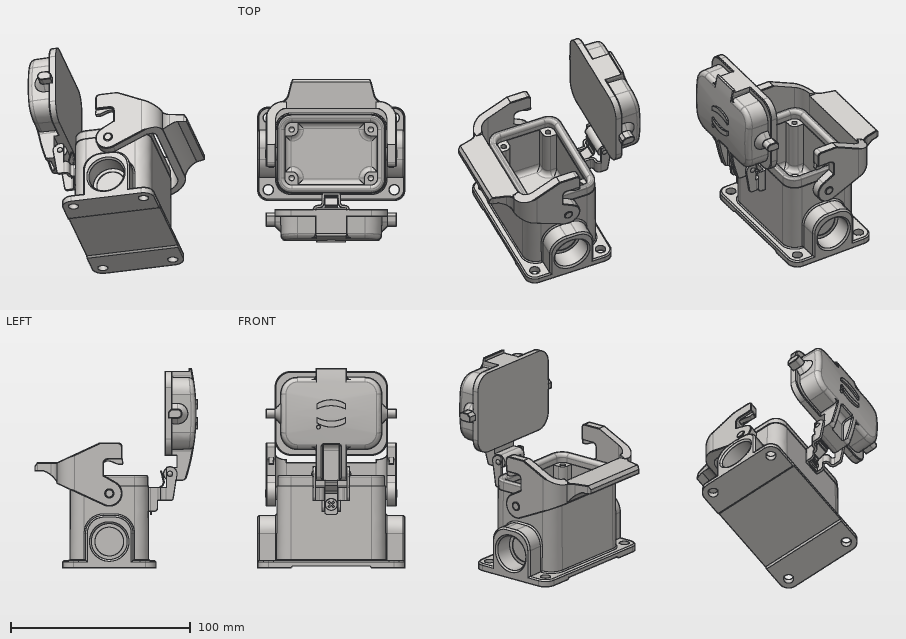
import cadquery as cq
import math

BASE_LENGTH = 82.0
BASE_WIDTH = 52.0
BASE_HEIGHT = 4.0
BASE_CORNER_R = 6.0
BASE_EDGE_CHAMFER = 0.8
FOOT_GAP_LENGTH = 43.0
FOOT_GAP_HEIGHT = 1.0
MOUNT_HOLE_D = 5.6
MOUNT_HOLE_X = 35.0
MOUNT_HOLE_Y = 20.0

WALL_LENGTH = 60.8
WALL_WIDTH = 43.9
WALL_CORNER_R = 8.0
WALL_DRAFT_DEG = 0.3
COLLAR_Z = 45.6
COLLAR_LENGTH = 59.4
COLLAR_WIDTH = 42.9
COLLAR_CORNER_R = 7.4
RIM_Z = 51.4
RIM_OUTER_R = 1.0
RIM_INNER_R = 2.2
WALL_FOOT_CHAMFER = 0.7
CAVITY_LENGTH = 51.0
CAVITY_WIDTH = 34.3
MOUTH_STEP = 0.3
CAVITY_CORNER_R = 4.0
CAVITY_FLOOR_Z = 16.0
CAVITY_FLOOR_R = 3.0
POST_X = 22.0
POST_Y = 13.5
POST_R = 3.5
POST_TOP_Z = 46.3
SCREW_HOLE_D = 3.0
SCREW_HOLE_DEPTH = 10.0
DRILL_TIP_DEG = 118

TOWER_WIDTH = 26.4
TOWER_TOP_Z = 29.2
TOWER_CORNER_R = 10.0
TOWER_EDGE_CHAMFER = 1.0
TOWER_ROOT_CHAMFER = 0.9
TOWER_ROOT_X = -30.2
BORE_D = 20.0
BORE_CHAMFER = 1.0
BORE_Z = 14.65
BORE_DEPTH = 11.5
KNOCKOUT_D = 16.0
KNOCKOUT_DEPTH = 0.4

PIVOT_Z = 41.4
PIVOT_D = 5.1
PIVOT_TIP_D = 4.0
PIVOT_REACH = 36.5
PIVOT_TIP_LENGTH = 0.3
PIVOT_BOSS_D = 7.0

LEVER_HALF_LENGTH = 36.2
LEVER_INNER_HALF = 30.9
LEVER_BACK_Y = 29.1
LEVER_INNER_Y = 25.2
LEVER_OUTER_R = 9.8
LEVER_INNER_R = 6.0
LEVER_FRONT_Y = -7.1
LEVER_TOP_Z = 69.5
LEVER_TOP_REAR_Y = 5.2
LEVER_REAR_LOW_Z = 47.4
LEVER_REAR_HIGH_Z = 58.0
LEVER_REAR_Y = 29.9
LEVER_EAR_R = -LEVER_FRONT_Y
HOOK_UNDER_Z = 60.4
HOOK_THROAT_Y = 3.2
HOOK_THROAT_R = 2.6
HOOK_NOSE_R = 2.2
LEVER_EDGE_CHAMFER = 0.4
GRIP_TOP_Z = 58.5
GRIP_END_Y = 41.4
BRIDGE_HALF_LENGTH = 24.9
TOOTH_X = 33.45
TOOTH_WIDTH = 2.5

COVER_Z = 85.9
FLANGE_LENGTH = 62.6
FLANGE_HEIGHT = 46.7
FLANGE_CORNER_R = 9.0
FLANGE_BACK_Y = -31.1
FLANGE_FRONT_Y = -35.0
FLANGE_EDGE_CHAMFER = 0.5
SHELL_LENGTH = 56.4
SHELL_HEIGHT = 40.2
SHELL_CORNER_R = 9.5
SHELL_DRAFT_DEG = 1.5
SHELL_EDGE_R = 2.8
DOME_R = 120.0
DOME_Y = -48.3
TAB_HALF_LENGTH = 8.6
TAB_LIP_Z = 110.79
TAB_LIP_BACK_Y = -44.4
TONGUE_BOTTOM_R = 2.7
BAR_EDGE_CHAMFER = 0.5
TONGUE_BACK_Y = -37.6
SLOT_HALF_LENGTH = 5.0
SLOT_FLOOR_Y = -40.0
SLOT_TOP_Z = 68.6
SLOT_BEVEL = 0.7
SLOT_TOP_R = 3.3
TAB_GUSSET = 2.2
PEG_REACH = 36.4
PEG_HEIGHT = 4.9
PEG_Z = 85.75
PEG_FLAT_Y = -32.9
PEG_ROUND_Y = -37.85
PEG_CHAMFER = 1.7
PEG_TIP_CHAMFER = 0.3
PEG_ROOT_R = 6.0
PEG_ROOT_LENGTH = 3.4
BADGE_Y = -49.15
BADGE_HALF_LENGTH = 8.0
DOT_D = 2.08
DOT_X = -7.1
DOT_Z = 78.3

HINGE_Y = -33.7
HINGE_Z = 52.3
HUB_R = 3.6
HINGE_PIN_D = 3.0
HINGE_PIN_REACH = 10.9
SHEET = 1.4
CHANNEL_HALF = 5.25
CHANNEL_BACK_Y = -21.6
CHANNEL_FRONT_Y = -26.9
CHANNEL_BOTTOM_Z = 31.4
CHANNEL_TOE_R = 2.0
WING_BACK_Y = -28.6
WING_BOTTOM_Z = 37.5
WING_TOP_Z = 44.7
EAR_INNER_X = 8.7
EAR_OUTER_X = EAR_INNER_X + SHEET
EAR_EDGE_Y = -31.7
EAR_R = 4.0
EAR_TOE_R = 1.5
SPRING_HALF = 3.6
SPRING_THICKNESS = 0.6
SPRING_Y = -23.3
SPRING_BOTTOM_Z = 29.7
SPRING_CHAMFER = 0.9
SCREW_Z = 35.3
SCREW_HEAD_D = 6.6
SCREW_HEAD_Y = -24.5
CROSS_LENGTH = 4.2
CROSS_WIDTH = 0.9
CROSS_DEPTH = 0.5

SIDES = (-1, 1)


def box(x0, x1, y0, y1, z0, z1):
    """Box between two opposite corners."""
    return cq.Workplane().box(x1 - x0, y1 - y0, z1 - z0, centered=False).translate((x0, y0, z0))


def rounded_block(length, width, corner_r, z0, z1, draft=0):
    """Upright block with rounded corners, centred on the Z axis."""
    plan = cq.Sketch().rect(length, width).vertices().fillet(corner_r)
    return cq.Workplane("XY", origin=(0, 0, z0)).placeSketch(plan).extrude(z1 - z0, taper=draft)


def cover_block(length, height, corner_r, y_back, y_front, draft=0):
    """Block with rounded corners, centred on the cover and growing toward -Y."""
    plan = cq.Sketch().rect(length, height).vertices().fillet(corner_r)
    plane = cq.Workplane("XZ", origin=(0, y_back, COVER_Z))
    return plane.placeSketch(plan).extrude(y_back - y_front, taper=draft)


def rod_x(diameter, x0, x1, y, z):
    """Cylinder along X."""
    return cq.Workplane("YZ", origin=(x0, y, z)).circle(diameter / 2).extrude(x1 - x0)


def mirrored(half):
    """A body together with its mirror image across the YZ plane."""
    return half.union(half.mirror("YZ"))


def make_base():
    base = rounded_block(BASE_LENGTH, BASE_WIDTH, BASE_CORNER_R, 0, BASE_HEIGHT)
    return base.faces(">Z").edges().chamfer(BASE_EDGE_CHAMFER)


def make_foot_gap():
    """Shallow relief under the middle of the base, leaving a foot at each end."""
    half_gap = FOOT_GAP_LENGTH / 2
    return (
        cq.Workplane("XZ")
        .polyline([
            (-half_gap - FOOT_GAP_HEIGHT, 0),
            (half_gap + FOOT_GAP_HEIGHT, 0),
            (half_gap, FOOT_GAP_HEIGHT),
            (-half_gap, FOOT_GAP_HEIGHT),
        ])
        .close()
        .extrude(BASE_WIDTH / 2, both=True)
    )


def make_tower():
    """Cable entry tower at the -X end with its flared root, still without its bore."""
    x_face = -BASE_LENGTH / 2
    half = TOWER_WIDTH / 2
    tower = box(x_face, -CAVITY_LENGTH / 2, -half, half, 0, TOWER_TOP_Z)
    tower = tower.edges("|X and >Z").fillet(TOWER_CORNER_R)
    tower = tower.faces("<X").edges("not <Z").chamfer(TOWER_EDGE_CHAMFER)
    root_half = half + TOWER_ROOT_CHAMFER
    root_top = TOWER_TOP_Z + TOWER_ROOT_CHAMFER
    root_r = TOWER_CORNER_R + TOWER_ROOT_CHAMFER
    root = (
        cq.Workplane("YZ", origin=(TOWER_ROOT_X, 0, 0))
        .moveTo(-root_half, 0)
        .lineTo(-root_half, root_top - root_r)
        .radiusArc((root_r - root_half, root_top), root_r)
        .lineTo(root_half - root_r, root_top)
        .radiusArc((root_half, root_top - root_r), root_r)
        .lineTo(root_half, 0)
        .close()
        .extrude(-TOWER_ROOT_CHAMFER, taper=45)
    )
    return tower.union(root)


def make_bore():
    """Blind cable bore at the -X end with a chamfered mouth and a knock-out recess."""
    x_face = -BASE_LENGTH / 2
    bore = rod_x(BORE_D, x_face, x_face + BORE_DEPTH, 0, BORE_Z)
    recess = rod_x(KNOCKOUT_D, x_face, x_face + BORE_DEPTH + KNOCKOUT_DEPTH, 0, BORE_Z)
    mouth = (
        cq.Workplane("YZ", origin=(x_face, 0, BORE_Z))
        .circle(BORE_D / 2 + BORE_CHAMFER)
        .extrude(BORE_CHAMFER, taper=45)
    )
    return bore.union(recess).union(mouth)


def make_pivot():
    """Lever pivot at the -X end: a spacer boss and a pin with a conical tip."""
    boss = rod_x(PIVOT_BOSS_D, -LEVER_INNER_HALF, -CAVITY_LENGTH / 2, 0, PIVOT_Z)
    pin = rod_x(PIVOT_D, -PIVOT_REACH, -CAVITY_LENGTH / 2, 0, PIVOT_Z)
    pin = pin.faces("<X").chamfer(PIVOT_TIP_LENGTH, (PIVOT_D - PIVOT_TIP_D) / 2)
    return boss.union(pin)


def make_cavity():
    """Inside of the housing, leaving a screw post standing in each corner."""
    cavity = rounded_block(CAVITY_LENGTH, CAVITY_WIDTH, CAVITY_CORNER_R, CAVITY_FLOOR_Z, RIM_Z)
    x_post = POST_X - POST_R
    y_post = POST_Y - POST_R
    for sx in SIDES:
        for sy in SIDES:
            post = box(x_post, CAVITY_LENGTH, y_post, CAVITY_WIDTH, CAVITY_FLOOR_Z, POST_TOP_Z)
            post = post.edges("|Z and <X and <Y").fillet(POST_R)
            if sx < 0:
                post = post.mirror("YZ")
            if sy < 0:
                post = post.mirror("XZ")
            cavity = cavity.cut(post)
    cavity = cavity.faces("<Z").edges().fillet(CAVITY_FLOOR_R)
    mouth = rounded_block(
        CAVITY_LENGTH + 2 * MOUTH_STEP, CAVITY_WIDTH + 2 * MOUTH_STEP, CAVITY_CORNER_R, POST_TOP_Z, RIM_Z
    )
    return cavity.union(mouth)


def make_post_hole():
    """Blind screw hole with a drill tip, hanging from the top of a post."""
    radius = SCREW_HOLE_D / 2
    tip = radius / math.tan(math.radians(DRILL_TIP_DEG / 2))
    return (
        cq.Workplane("XZ", origin=(0, 0, POST_TOP_Z))
        .polyline([
            (0, 0),
            (radius, 0),
            (radius, -SCREW_HOLE_DEPTH),
            (0, -SCREW_HOLE_DEPTH - tip),
        ])
        .close()
        .revolve(360, (0, 0, 0), (0, 1, 0))
    )


def make_channel():
    """Bent sheet bracket: channel on the wall, wings, and the start of the two ears."""
    inner_half = CHANNEL_HALF - SHEET
    web_front = CHANNEL_BACK_Y - SHEET
    wing_front = WING_BACK_Y - SHEET
    right = [
        (CHANNEL_HALF, CHANNEL_BACK_Y),
        (CHANNEL_HALF, WING_BACK_Y),
        (EAR_OUTER_X, WING_BACK_Y),
        (EAR_OUTER_X, EAR_EDGE_Y),
        (EAR_INNER_X, EAR_EDGE_Y),
        (EAR_INNER_X, wing_front),
        (inner_half, wing_front),
        (inner_half, web_front),
    ]
    left = [(-x, y) for x, y in reversed(right)]
    strip = (
        cq.Workplane("XY", origin=(0, 0, CHANNEL_BOTTOM_Z))
        .polyline(right + left)
        .close()
        .extrude(WING_TOP_Z - CHANNEL_BOTTOM_Z)
    )
    mid_z = (CHANNEL_BOTTOM_Z + WING_TOP_Z) / 2
    inner_bend = SHEET
    outer_bend = 2 * SHEET
    bends = [
        (CHANNEL_HALF, CHANNEL_BACK_Y, inner_bend),
        (CHANNEL_HALF, WING_BACK_Y, inner_bend),
        (inner_half, wing_front, outer_bend),
        (EAR_OUTER_X, WING_BACK_Y, outer_bend),
        (EAR_INNER_X, wing_front, inner_bend),
    ]
    for side in SIDES:
        for x, y, radius in bends:
            edge = cq.selectors.NearestToPointSelector((side * x, y, mid_z))
            strip = strip.edges("|Z").edges(edge).fillet(radius)
    under_wings = box(
        -EAR_OUTER_X, EAR_OUTER_X, EAR_EDGE_Y, CHANNEL_FRONT_Y, CHANNEL_BOTTOM_Z, WING_BOTTOM_Z
    )
    strip = strip.cut(under_wings)
    toes = cq.selectors.BoxSelector(
        (-EAR_OUTER_X, CHANNEL_FRONT_Y - SHEET / 2, CHANNEL_BOTTOM_Z - 1),
        (EAR_OUTER_X, CHANNEL_FRONT_Y + SHEET / 2, CHANNEL_BOTTOM_Z + 1),
    )
    return strip.edges("|X").edges(toes).fillet(CHANNEL_TOE_R)


def make_hinge_ear():
    """Side plate of the bracket at +X with the hinge hole."""
    heel_y = -35.4
    edge_dy = HINGE_Y - EAR_EDGE_Y
    edge_z = HINGE_Z + math.sqrt(EAR_R ** 2 - edge_dy ** 2)
    ear = (
        cq.Workplane("YZ", origin=(EAR_INNER_X, 0, 0))
        .moveTo(EAR_EDGE_Y, WING_BOTTOM_Z)
        .lineTo(EAR_EDGE_Y, edge_z)
        .threePointArc(
            (HINGE_Y - EAR_R * math.sin(math.pi / 4), HINGE_Z + EAR_R * math.cos(math.pi / 4)),
            (HINGE_Y - EAR_R, HINGE_Z),
        )
        .lineTo(heel_y, WING_BOTTOM_Z)
        .close()
        .extrude(SHEET)
    )
    toe = cq.selectors.NearestToPointSelector((EAR_INNER_X + SHEET / 2, heel_y, WING_BOTTOM_Z))
    ear = ear.edges(toe).fillet(EAR_TOE_R)
    return ear.cut(rod_x(HINGE_PIN_D, EAR_INNER_X, EAR_OUTER_X, HINGE_Y, HINGE_Z))


def make_spring():
    """Leaf spring rising from the screw to press against the cover hub."""
    path = [
        (SPRING_Y, SPRING_BOTTOM_Z),
        (SPRING_Y, 41.4),
        (-24.4, 42.8),
        (-29.6, 45.7),
        (-30.4, 47.7),
        (-29.2, 52.4),
        (-28.7, 54.0),
    ]
    back = [(y + SPRING_THICKNESS / 2, z) for y, z in path]
    front = [(y - SPRING_THICKNESS / 2, z) for y, z in reversed(path)]
    spring = cq.Workplane("YZ").polyline(back + front).close().extrude(SPRING_HALF, both=True)
    return spring.faces("<Z").edges("|Y").chamfer(SPRING_CHAMFER)


def make_screw_head():
    """Cross-recess screw head that clamps the bracket and the spring."""
    length = CHANNEL_BACK_Y - SCREW_HEAD_Y
    head = cq.Workplane("XZ", origin=(0, CHANNEL_BACK_Y, SCREW_Z)).circle(SCREW_HEAD_D / 2).extrude(length)
    for angle in (45, 135):
        bar = (
            cq.Workplane("XZ", origin=(0, SCREW_HEAD_Y, SCREW_Z))
            .transformed(rotate=(0, 0, angle))
            .rect(CROSS_LENGTH, CROSS_WIDTH)
            .extrude(-CROSS_DEPTH)
        )
        head = head.cut(bar)
    return head


def make_housing():
    walls = rounded_block(WALL_LENGTH, WALL_WIDTH, WALL_CORNER_R, 0, COLLAR_Z, WALL_DRAFT_DEG)
    collar = rounded_block(COLLAR_LENGTH, COLLAR_WIDTH, COLLAR_CORNER_R, COLLAR_Z, RIM_Z)
    collar = collar.faces(">Z").edges().fillet(RIM_OUTER_R)
    foot = rounded_block(
        WALL_LENGTH + 2 * WALL_FOOT_CHAMFER,
        WALL_WIDTH + 2 * WALL_FOOT_CHAMFER,
        WALL_CORNER_R + WALL_FOOT_CHAMFER,
        BASE_HEIGHT,
        BASE_HEIGHT + WALL_FOOT_CHAMFER,
        45,
    )

    housing = make_base().union(foot).union(walls).union(collar).union(mirrored(make_tower()))
    housing = housing.cut(make_cavity())
    mouth = cq.selectors.BoxSelector(
        (-CAVITY_LENGTH / 2 - 2 * MOUTH_STEP, -CAVITY_WIDTH / 2 - 2 * MOUTH_STEP, RIM_Z - MOUTH_STEP),
        (CAVITY_LENGTH / 2 + 2 * MOUTH_STEP, CAVITY_WIDTH / 2 + 2 * MOUTH_STEP, RIM_Z + MOUTH_STEP),
    )
    housing = housing.edges(mouth).fillet(RIM_INNER_R)
    housing = housing.cut(make_bore()).cut(make_bore().mirror("YZ"))
    housing = housing.union(mirrored(make_pivot()))

    housing = housing.cut(make_foot_gap())
    mount_hole = cq.Workplane().circle(MOUNT_HOLE_D / 2).extrude(BASE_HEIGHT)
    post_hole = make_post_hole()
    for sx in SIDES:
        for sy in SIDES:
            housing = housing.cut(mount_hole.translate((sx * MOUNT_HOLE_X, sy * MOUNT_HOLE_Y, 0)))
            housing = housing.cut(post_hole.translate((sx * POST_X, sy * POST_Y, 0)))

    ear = make_hinge_ear()
    bracket = make_channel().union(ear).union(ear.mirror("YZ"))
    return housing.union(bracket).union(make_spring()).union(make_screw_head())


def ear_tangent(y, z, side):
    """Point where a line from (y, z) touches the round ear about the pivot; side picks which of the two."""
    distance = math.hypot(y, z - PIVOT_Z)
    angle = math.atan2(z - PIVOT_Z, y) + side * math.acos(LEVER_EAR_R / distance)
    return LEVER_EAR_R * math.cos(angle), PIVOT_Z + LEVER_EAR_R * math.sin(angle)


def make_lever_side():
    """Side outline of the lever, through its full length."""
    throat_mid = HOOK_THROAT_R * (1 - math.cos(math.pi / 4))
    upper_tangent = ear_tangent(HOOK_THROAT_Y, RIM_Z, 1)
    lower_tangent = ear_tangent(LEVER_REAR_Y, LEVER_REAR_LOW_Z, -1)
    side = (
        cq.Workplane("YZ", origin=(-LEVER_HALF_LENGTH, 0, 0))
        .moveTo(LEVER_TOP_REAR_Y, LEVER_TOP_Z)
        .lineTo(LEVER_FRONT_Y + HOOK_NOSE_R, LEVER_TOP_Z)
        .radiusArc((LEVER_FRONT_Y, LEVER_TOP_Z - HOOK_NOSE_R), -HOOK_NOSE_R)
        .lineTo(LEVER_FRONT_Y, HOOK_UNDER_Z)
        .lineTo(HOOK_THROAT_Y - HOOK_THROAT_R, HOOK_UNDER_Z)
        .threePointArc(
            (HOOK_THROAT_Y - throat_mid, HOOK_UNDER_Z - throat_mid),
            (HOOK_THROAT_Y, HOOK_UNDER_Z - HOOK_THROAT_R),
        )
        .lineTo(HOOK_THROAT_Y, RIM_Z)
        .lineTo(*upper_tangent)
        .threePointArc((LEVER_FRONT_Y, PIVOT_Z), lower_tangent)
        .lineTo(LEVER_REAR_Y, LEVER_REAR_LOW_Z)
        .lineTo(LEVER_REAR_Y, LEVER_REAR_HIGH_Z)
        .close()
        .extrude(2 * LEVER_HALF_LENGTH)
    )
    return side.faces("<X or >X").edges().chamfer(LEVER_EDGE_CHAMFER)


def make_grip():
    """Finger grip reaching back from the bridge of the lever."""
    side = (
        cq.Workplane("YZ", origin=(-LEVER_HALF_LENGTH, 0, 0))
        .moveTo(27.0, GRIP_TOP_Z)
        .lineTo(40.0, GRIP_TOP_Z)
        .lineTo(GRIP_END_Y, 56.3)
        .lineTo(GRIP_END_Y, 53.9)
        .lineTo(36.6, 53.9)
        .threePointArc((32.4, 51.6), (29.0, 47.4))
        .lineTo(27.0, 46.5)
        .close()
        .extrude(2 * LEVER_HALF_LENGTH)
    )
    plan = (
        cq.Workplane("XY", origin=(0, 0, PIVOT_Z))
        .moveTo(-27.0, 27.0)
        .lineTo(-27.0, 29.1)
        .threePointArc((-25.3, 30.4), (-24.1, 32.4))
        .lineTo(-22.2, 39.8)
        .lineTo(-21.3, GRIP_END_Y)
        .lineTo(21.3, GRIP_END_Y)
        .lineTo(22.2, 39.8)
        .lineTo(24.1, 32.4)
        .threePointArc((25.3, 30.4), (27.0, 29.1))
        .lineTo(27.0, 27.0)
        .close()
        .extrude(GRIP_TOP_Z - PIVOT_Z)
    )
    return side.intersect(plan.faces(">Z").edges("not <Y").chamfer(LEVER_EDGE_CHAMFER))


def make_snap_tooth():
    """Thin snap tooth under the hook at +X."""
    return (
        cq.Workplane("YZ", origin=(TOOTH_X - TOOTH_WIDTH / 2, 0, 0))
        .moveTo(2.4, HOOK_UNDER_Z + 1)
        .lineTo(2.4, 59.0)
        .spline([(0.2, 59.4), (-2.6, 58.5), (-5.0, 57.6)], includeCurrent=True)
        .lineTo(-7.3, 57.6)
        .lineTo(-7.6, 58.1)
        .lineTo(LEVER_FRONT_Y, HOOK_UNDER_Z + 1)
        .close()
        .extrude(TOOTH_WIDTH)
    )


def make_corner_slope():
    """Cutter that twists the top of the rounded lever corner at +X so that it is level toward the corner axis."""
    centre_x = LEVER_INNER_HALF - LEVER_INNER_R
    centre_y = LEVER_BACK_Y - LEVER_OUTER_R
    slope = (LEVER_REAR_HIGH_Z - LEVER_TOP_Z) / (LEVER_REAR_Y - LEVER_TOP_REAR_Y)
    near = LEVER_INNER_R / 2
    far = LEVER_OUTER_R * 1.5
    sections = []
    for degrees in (0, 22.5, 45, 67.5, 90):
        across = math.cos(math.radians(degrees))
        along = math.sin(math.radians(degrees))
        rim_y = centre_y + LEVER_OUTER_R * along
        top_z = LEVER_TOP_Z + slope * (rim_y - LEVER_TOP_REAR_Y)
        corners = [(near, top_z), (far, top_z), (far, LEVER_TOP_Z), (near, LEVER_TOP_Z)]
        points = [cq.Vector(centre_x + reach * across, centre_y + reach * along, z) for reach, z in corners]
        sections.append(cq.Wire.makePolygon(points, close=True))
    return cq.Workplane(obj=cq.Solid.makeLoft(sections))


def make_lever():
    outer = box(
        -LEVER_HALF_LENGTH, LEVER_HALF_LENGTH, LEVER_FRONT_Y, LEVER_BACK_Y, 0, LEVER_TOP_Z
    )
    outer = outer.edges("|Z and >Y").fillet(LEVER_OUTER_R)
    inner = box(
        -LEVER_INNER_HALF, LEVER_INNER_HALF, LEVER_FRONT_Y, LEVER_INNER_Y, 0, LEVER_TOP_Z
    )
    inner = inner.edges("|Z and >Y").fillet(LEVER_INNER_R)
    lever = make_lever_side().intersect(outer)
    lever = lever.cut(inner)
    for side in SIDES:
        hook_edges = cq.selectors.BoxSelector(
            (side * LEVER_INNER_HALF - 0.1, LEVER_FRONT_Y - 1, HOOK_UNDER_Z + 1),
            (side * LEVER_INNER_HALF + 0.1, LEVER_TOP_REAR_Y, LEVER_TOP_Z + 1),
        )
        lever = lever.edges(hook_edges).chamfer(LEVER_EDGE_CHAMFER)
    lever = lever.cut(box(
        -BRIDGE_HALF_LENGTH, BRIDGE_HALF_LENGTH, 0, GRIP_END_Y, GRIP_TOP_Z, LEVER_TOP_Z
    ))
    slope = make_corner_slope()
    lever = lever.cut(slope).cut(slope.mirror("YZ"))
    lever = lever.union(make_grip()).union(mirrored(make_snap_tooth()))
    return lever.cut(rod_x(PIVOT_D, -LEVER_HALF_LENGTH, LEVER_HALF_LENGTH, 0, PIVOT_Z))


def make_dome():
    """Everything behind the cylindrical front face of the cover."""
    return rod_x(2 * DOME_R, -PEG_REACH, PEG_REACH, DOME_Y + DOME_R, COVER_Z)


def make_tab_and_tongue():
    """Central bar of the cover: closing lip on top, hinge tongue at the bottom."""
    flange_top = COVER_Z + FLANGE_HEIGHT / 2
    flange_bottom = COVER_Z - FLANGE_HEIGHT / 2
    tongue_bottom = HINGE_Z - HUB_R
    half = TAB_HALF_LENGTH
    bar = (
        cq.Workplane("YZ", origin=(-half, 0, 0))
        .polyline([
            (FLANGE_BACK_Y, flange_top),
            (TAB_LIP_BACK_Y, flange_top),
            (TAB_LIP_BACK_Y, TAB_LIP_Z),
            (DOME_Y, TAB_LIP_Z),
            (DOME_Y, tongue_bottom),
            (TONGUE_BACK_Y, tongue_bottom),
            (TONGUE_BACK_Y, flange_bottom),
            (FLANGE_BACK_Y, flange_bottom),
        ])
        .close()
        .extrude(2 * half)
        .intersect(make_dome())
    )
    return bar.faces("%CYLINDER").edges("<X or >X").chamfer(BAR_EDGE_CHAMFER)


def make_slot():
    """Recess in the front of the tongue between its two arms."""
    slot = box(
        -SLOT_HALF_LENGTH, SLOT_HALF_LENGTH, DOME_Y, SLOT_FLOOR_Y, HINGE_Z - HUB_R, SLOT_TOP_Z
    )
    return slot.edges("|X and >Z and >Y").fillet(SLOT_TOP_R)


def make_gussets():
    """Concave corner fillers where the bar leaves the cover shell."""
    half_shell = SHELL_HEIGHT / 2 - SHELL_EDGE_R / 2
    corner = (
        cq.Workplane("XZ", origin=(0, FLANGE_FRONT_Y, COVER_Z))
        .moveTo(TAB_HALF_LENGTH, half_shell)
        .lineTo(TAB_HALF_LENGTH, half_shell + TAB_GUSSET)
        .radiusArc((TAB_HALF_LENGTH + TAB_GUSSET, half_shell), -TAB_GUSSET)
        .close()
        .extrude(FLANGE_FRONT_Y - DOME_Y)
    )
    top = mirrored(corner)
    bottom = top.mirror("XY", (0, 0, COVER_Z))
    return top.union(bottom).intersect(make_dome())


def make_peg():
    """Locking peg at the -X side of the cover with its conical root."""
    radius = PEG_HEIGHT / 2
    peg = (
        cq.Workplane("YZ", origin=(-PEG_REACH, 0, PEG_Z))
        .moveTo(PEG_ROUND_Y, -radius)
        .lineTo(PEG_FLAT_Y, -radius)
        .lineTo(PEG_FLAT_Y, radius - PEG_CHAMFER)
        .lineTo(PEG_FLAT_Y - PEG_CHAMFER, radius)
        .lineTo(PEG_ROUND_Y, radius)
        .threePointArc((PEG_ROUND_Y - radius, 0), (PEG_ROUND_Y, -radius))
        .close()
        .extrude(PEG_REACH - SHELL_LENGTH / 2 + 1)
        .faces("<X")
        .chamfer(PEG_TIP_CHAMFER)
    )
    root = (
        cq.Workplane("YZ", origin=(-SHELL_LENGTH / 2 + 0.4, 0, PEG_Z))
        .moveTo(PEG_ROUND_Y, -PEG_ROOT_R)
        .lineTo(FLANGE_BACK_Y, -PEG_ROOT_R)
        .lineTo(FLANGE_BACK_Y, PEG_ROOT_R)
        .lineTo(PEG_ROUND_Y, PEG_ROOT_R)
        .threePointArc((PEG_ROUND_Y - PEG_ROOT_R, 0), (PEG_ROUND_Y, -PEG_ROOT_R))
        .close()
        .extrude(-PEG_ROOT_LENGTH, taper=45)
    )
    return peg.union(root)


def make_badge():
    """Two raised crescent bands and a dot on the front face."""
    side_top, crown_top, side_low, crown_low = 5.2, 7.6, 2.4, 4.3
    depth = BADGE_Y - FLANGE_FRONT_Y
    band = (
        cq.Workplane("XZ", origin=(0, BADGE_Y, COVER_Z))
        .moveTo(-BADGE_HALF_LENGTH, side_low)
        .lineTo(-BADGE_HALF_LENGTH, side_top)
        .threePointArc((0, crown_top), (BADGE_HALF_LENGTH, side_top))
        .lineTo(BADGE_HALF_LENGTH, side_low)
        .threePointArc((0, crown_low), (-BADGE_HALF_LENGTH, side_low))
        .close()
        .extrude(depth)
    )
    dot = cq.Workplane("XZ", origin=(DOT_X, BADGE_Y, DOT_Z)).circle(DOT_D / 2).extrude(depth)
    return band.union(band.mirror("XY", (0, 0, COVER_Z))).union(dot)


def make_hinge_hub():
    """Hinge knuckle under the tongue with a domed pin at each end."""
    half = TAB_HALF_LENGTH
    hub = rod_x(2 * HUB_R, -half, half, HINGE_Y, HINGE_Z)
    hub = hub.union(box(-half, half, SLOT_FLOOR_Y, HINGE_Y, HINGE_Z - HUB_R, HINGE_Z + HUB_R))
    radius = HINGE_PIN_D / 2
    dome = HINGE_PIN_REACH - EAR_OUTER_X
    dome_r = (radius ** 2 + dome ** 2) / (2 * dome)
    pin = (
        cq.Workplane("XY", origin=(0, HINGE_Y, HINGE_Z))
        .lineTo(0, radius)
        .lineTo(EAR_OUTER_X, radius)
        .radiusArc((HINGE_PIN_REACH, 0), dome_r)
        .close()
        .revolve(360, (0, 0, 0), (1, 0, 0))
    )
    return hub.union(mirrored(pin))


def make_cover():
    flange = cover_block(FLANGE_LENGTH, FLANGE_HEIGHT, FLANGE_CORNER_R, FLANGE_BACK_Y, FLANGE_FRONT_Y)
    flange = flange.faces("<Y").edges().chamfer(FLANGE_EDGE_CHAMFER)
    shell = cover_block(
        SHELL_LENGTH, SHELL_HEIGHT, SHELL_CORNER_R, FLANGE_FRONT_Y, DOME_Y - 1, SHELL_DRAFT_DEG
    )
    shell = shell.intersect(make_dome())
    shell = shell.faces("<Y").edges().fillet(SHELL_EDGE_R)
    cover = flange.union(shell).union(make_tab_and_tongue()).union(make_gussets())
    cover = cover.union(mirrored(make_peg())).union(make_badge())
    cover = cover.cut(make_slot())
    slot_edges = cq.selectors.BoxSelector(
        (-SLOT_HALF_LENGTH - SLOT_BEVEL, DOME_Y, HINGE_Z - HUB_R + SLOT_BEVEL),
        (SLOT_HALF_LENGTH + SLOT_BEVEL, (DOME_Y + SLOT_FLOOR_Y) / 2, SLOT_TOP_Z + SLOT_BEVEL),
    )
    cover = cover.edges(slot_edges).chamfer(SLOT_BEVEL)
    cover = cover.faces("<Z").edges("<Y").fillet(TONGUE_BOTTOM_R)
    return cover.union(make_hinge_hub())


housing = make_housing()
lever = make_lever()
cover = make_cover()

result = cq.Compound.makeCompound([housing.val(), lever.val(), cover.val()])